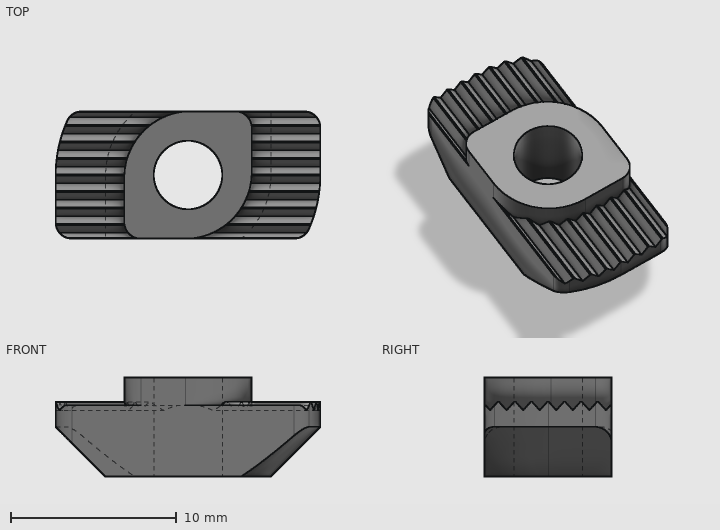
import cadquery as cq
import math

length = 16.0
width = 7.7
height = 6.0
foot_length = 10.0
taper_height = 3.0
corner_radius = 1.0
boss_turn_radius = 4.0
hole_diameter = 4.13

tooth_pitch = 1.0
tooth_valley_height = 4.02
tooth_depth = 0.5
tooth_flat = 0.1
edge_flat_width = 0.08
edge_flat_height = 4.32

half_length = length / 2
half_width = width / 2
foot_radius = foot_length / 2
crest_height = tooth_valley_height + tooth_depth


def turned_outline():
    """Plan outline: two square corners and two swept by the half length."""
    end_x = math.sqrt(half_length**2 - half_width**2)
    mid_angle = math.asin(half_width / half_length) / 2
    mid_x = half_length * math.cos(mid_angle)
    mid_y = half_length * math.sin(mid_angle)
    return (
        cq.Workplane("XY")
        .moveTo(-half_length, 0)
        .lineTo(-half_length, -half_width)
        .lineTo(end_x, -half_width)
        .threePointArc((mid_x, -mid_y), (half_length, 0))
        .lineTo(half_length, half_width)
        .lineTo(-end_x, half_width)
        .threePointArc((-mid_x, mid_y), (-half_length, 0))
        .close()
    )


def tapered_envelope():
    """Cone under the swept corners, flat 45 degree ends under the square ones."""
    half_profile = [
        (0, 0),
        (foot_radius, 0),
        (half_length, taper_height),
        (half_length, crest_height),
        (0, crest_height),
    ]
    profile = cq.Workplane("XZ").polyline(half_profile).close()
    cone = profile.revolve(360, (0, 0, 0), (0, 1, 0))
    right_end = cq.Workplane("XZ").polyline(half_profile).close().extrude(-half_width)
    left_end = right_end.rotate((0, 0, 0), (0, 0, 1), 180)
    return cone.union(right_end).union(left_end)


def tooth_groove(valley_y):
    """V-groove with its valley at valley_y, reaching the tooth crests."""
    half_opening = (tooth_pitch - tooth_flat) / 2
    return (
        cq.Workplane("YZ", origin=(-half_length, 0, 0))
        .polyline([
            (valley_y, tooth_valley_height),
            (valley_y + half_opening, crest_height),
            (valley_y - half_opening, crest_height),
        ])
        .close()
        .extrude(length)
    )


def serrated_body():
    """Tapered body with a crest on the centre line and grooves between crests."""
    block = turned_outline().extrude(crest_height).edges("|Z")
    corners = block.filter(lambda edge: abs(edge.Center().y) > half_width / 2)
    body = corners.fillet(corner_radius).intersect(tapered_envelope())
    grooves_per_side = math.ceil(half_width / tooth_pitch)
    for index in range(-grooves_per_side, grooves_per_side):
        body = body.cut(tooth_groove((index + 0.5) * tooth_pitch))
    for side in (-1, 1):
        body = body.cut(edge_flat(side))
    return body


def edge_flat(side):
    """Cutter that levels the serrations along one long edge; side is 1 or -1."""
    return (
        cq.Workplane("XY", origin=(0, side * half_width, edge_flat_height))
        .rect(length, 2 * edge_flat_width)
        .extrude(crest_height - edge_flat_height)
    )


def boss():
    """Square boss with two large and two small opposite corners."""
    column = cq.Workplane("XY", origin=(0, 0, taper_height)).rect(width, width)
    column = column.extrude(height - taper_height)
    corners = column.edges("|Z")
    large_corners = corners.filter(lambda edge: edge.Center().x * edge.Center().y < 0)
    column = large_corners.fillet(boss_turn_radius)
    for corner in ("<(1, 1, 0)", ">(1, 1, 0)"):
        column = column.edges("|Z").edges(corner).fillet(corner_radius)
    return column


hole = cq.Workplane("XY").circle(hole_diameter / 2).extrude(height)
result = serrated_body().union(boss()).cut(hole)